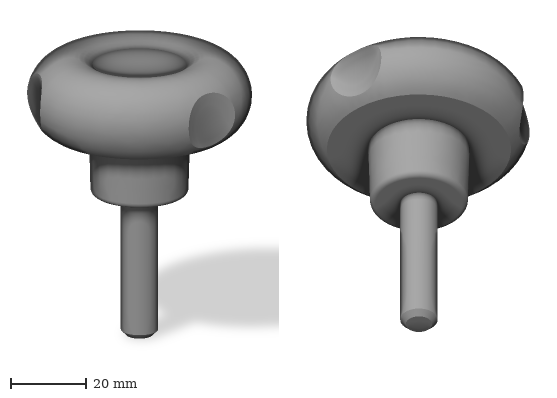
import cadquery as cq
import math

total_height = 78.5
head_bottom_z = 58.0
hub_bottom_z = 39.95

head_radius = 30.0
ring_section_radius = 11.0
dish_radius = 12.5

hub_top_radius = 13.6
hub_bottom_radius = 13.0
hub_edge_fillet = 1.5

stud_diameter = 10.0
stud_tip_chamfer = 1.5

flute_count = 3
flute_radius = 20.0
flute_floor_radius = 27.0
first_flute_angle = 90.0

ring_center_radius = head_radius - ring_section_radius
ring_center_z = total_height - ring_section_radius


def make_head():
    """Revolve the dished top, the round rim and the flat underside."""
    dish_offset = ring_center_radius - dish_radius
    dish_z = ring_center_z + math.sqrt(ring_section_radius**2 - dish_offset**2)
    underside_drop = ring_center_z - head_bottom_z
    underside_radius = ring_center_radius + math.sqrt(ring_section_radius**2 - underside_drop**2)
    profile = (
        cq.Workplane("XZ")
        .moveTo(0, head_bottom_z)
        .lineTo(underside_radius, head_bottom_z)
        .threePointArc((head_radius, ring_center_z), (dish_radius, dish_z))
        .lineTo(0, dish_z)
        .close()
    )
    return profile.revolve(360, (0, 0, 0), (0, 1, 0))


def make_hub():
    """Tapered hub with a rounded lower edge."""
    hub = (
        cq.Workplane("XY", origin=(0, 0, hub_bottom_z))
        .circle(hub_bottom_radius)
        .workplane(offset=head_bottom_z - hub_bottom_z)
        .circle(hub_top_radius)
        .loft(ruled=True)
    )
    return hub.faces("<Z").edges().fillet(hub_edge_fillet)


def make_stud():
    """Plain stud with a chamfered tip."""
    stud = cq.Workplane("XY").circle(stud_diameter / 2).extrude(hub_bottom_z)
    return stud.faces("<Z").edges().chamfer(stud_tip_chamfer)


def make_flutes():
    """Upright cylinders that cut the finger flutes, evenly spaced around the axis."""
    flute_center_radius = flute_floor_radius + flute_radius
    return (
        cq.Workplane("XY", origin=(0, 0, head_bottom_z))
        .polarArray(flute_center_radius, first_flute_angle, 360, flute_count)
        .circle(flute_radius)
        .extrude(total_height - head_bottom_z)
    )


head = make_head().cut(make_flutes())
result = head.union(make_hub()).union(make_stud())